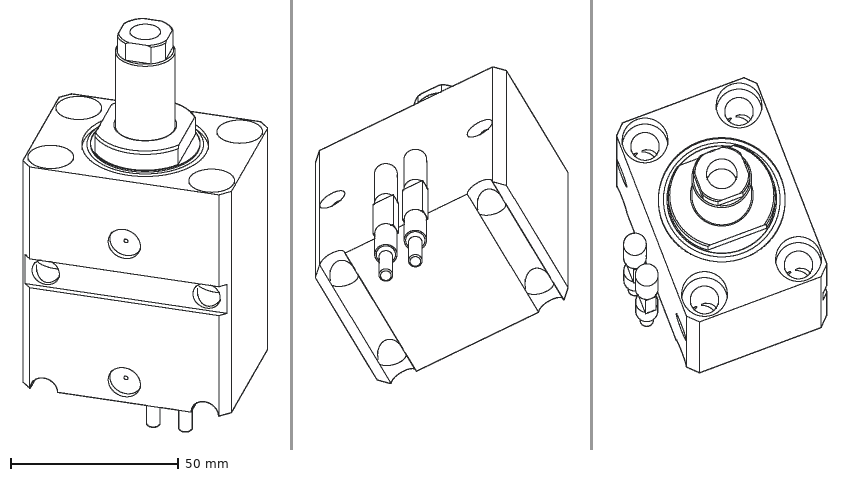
import cadquery as cq
import math

HOUSING_X = 65.0
HOUSING_Y = 45.0
HOUSING_TOP = 76.9
EDGE_CHAMFER = 3.0

HOLE_DIA = 8.5
HOLE_X = 25.1
BOLT_Y = 15.0
COUNTERBORE_DIA = 13.7
COUNTERBORE_DEPTH = 9.0

KEYWAY_Z = 40.0
KEYWAY_HEIGHT = 10.0
KEYWAY_DEPTH = 2.0

LOWER_PORT_Z = 7.0
UPPER_PORT_Z = 55.0
PORT_DIA = 10.0
PORT_DEPTH = 1.8
ORIFICE_DIA = 1.2
ORIFICE_DEPTH = 4.5
LOWER_ORIFICE_OFFSET = 0.5

PLUG_DIA = 38.0
PLUG_DEPTH = 10.0
PLUG_CHAMFER = 1.5
COLLAR_DIA = 32.8
COLLAR_HEIGHT = 0.5
HEAD_DIA = 32.0
HEAD_FLATS = 26.0
HEAD_TOP = 83.8
HEAD_BEVEL_HEIGHT = 0.9
HEAD_BEVEL_WIDTH = 0.5
BORE_CHAMFER = 0.5

ROD_DIA = 18.0
ROD_SHOULDER = 109.7
ROD_TOP = 116.0
ROD_CHAMFER = 0.5
TIP_DIA = 17.0
TIP_FLATS = 15.0
TIP_CHAMFER = 0.5
ROD_HOLE_DIA = 9.1
ROD_HOLE_DEPTH = 15.0
DRILL_POINT_ANGLE = 118

SENSOR_X = 5.0
BARREL_DIA = 6.8
BARREL_TOP = 32.0
BARREL_BOTTOM = 12.0
STRIP_THICKNESS = 3.3
CONNECTOR_DIA = 6.7
CONNECTOR_TOP = -7.9
CONNECTOR_BOTTOM = -21.9
TAPER_TOP_DIA = 5.8
TAPER_BOTTOM = -23.4
PIN_DIA = 4.1
PIN_BOTTOM = -36.0
PIN_CHAMFER = 0.5

FRONT_Y = -HOUSING_Y / 2
SENSOR_Y = HOUSING_Y / 2 + BARREL_DIA / 2
PLUG_BOTTOM = HOUSING_TOP - PLUG_DEPTH


def cylinder(diameter, bottom, top):
    """Upright cylinder on the Z axis."""
    return cq.Workplane("XY").workplane(offset=bottom).circle(diameter / 2).extrude(top - bottom)


def block(size_x, size_y, bottom, top):
    """Upright block centred on the Z axis."""
    return cq.Workplane("XY").workplane(offset=bottom).rect(size_x, size_y).extrude(top - bottom)


def cone(bottom_dia, top_dia, bottom, top):
    """Upright truncated cone on the Z axis; a bottom diameter of 0 gives a point."""
    solid = cq.Solid.makeCone(bottom_dia / 2, top_dia / 2, top - bottom, pnt=cq.Vector(0, 0, bottom))
    return cq.Workplane(solid)


def hole_along_y(diameter, x, z, start_y, depth):
    """Cutter that runs from start_y toward +Y."""
    return cq.Workplane("XZ", origin=(x, start_y, z)).circle(diameter / 2).extrude(-depth)


def drill_bolt_holes(body):
    return (
        body.faces(">Z")
        .workplane(origin=(0, 0, HOUSING_TOP))
        .rect(2 * HOLE_X, 2 * BOLT_Y, forConstruction=True)
        .vertices()
        .cboreHole(HOLE_DIA, COUNTERBORE_DIA, COUNTERBORE_DEPTH)
    )


def drill_cross_holes(body):
    for x in (-HOLE_X, HOLE_X):
        for z in (0, KEYWAY_Z):
            body = body.cut(hole_along_y(HOLE_DIA, x, z, FRONT_Y, HOUSING_Y))
    return body


def cut_keyway(body):
    keyway = cq.Workplane("XY").box(HOUSING_X, 2 * KEYWAY_DEPTH, KEYWAY_HEIGHT)
    return body.cut(keyway.translate((0, FRONT_Y, KEYWAY_Z)))


def cut_port(body, port_z, orifice_z):
    port = hole_along_y(PORT_DIA, 0, port_z, FRONT_Y, PORT_DEPTH)
    orifice = hole_along_y(ORIFICE_DIA, 0, orifice_z, FRONT_Y, PORT_DEPTH + ORIFICE_DEPTH)
    return body.cut(port).cut(orifice)


def make_housing():
    body = block(HOUSING_X, HOUSING_Y, 0, HOUSING_TOP).edges("|Z").chamfer(EDGE_CHAMFER)
    body = drill_bolt_holes(body)
    body = drill_cross_holes(body)
    body = cut_keyway(body)
    body = cut_port(body, LOWER_PORT_Z, LOWER_PORT_Z + LOWER_ORIFICE_OFFSET)
    body = cut_port(body, UPPER_PORT_Z, UPPER_PORT_Z)
    gland_recess = cylinder(PLUG_DIA, PLUG_BOTTOM, HOUSING_TOP)
    return body.cut(gland_recess)


def make_gland():
    plug = cylinder(PLUG_DIA, PLUG_BOTTOM, HOUSING_TOP).faces(">Z").edges().chamfer(PLUG_CHAMFER)
    collar = cylinder(COLLAR_DIA, HOUSING_TOP, HOUSING_TOP + COLLAR_HEIGHT)
    head = cylinder(HEAD_DIA, HOUSING_TOP, HEAD_TOP)
    head = head.faces(">Z").edges().chamfer(HEAD_BEVEL_HEIGHT, HEAD_BEVEL_WIDTH)
    head = head.intersect(block(HEAD_FLATS, HEAD_DIA, HOUSING_TOP, HEAD_TOP))
    rod_bore = cylinder(ROD_DIA, PLUG_BOTTOM, HEAD_TOP)
    bore_rim = cone(ROD_DIA, ROD_DIA + 2 * BORE_CHAMFER, HEAD_TOP - BORE_CHAMFER, HEAD_TOP)
    return plug.union(collar).union(head).cut(rod_bore).cut(bore_rim)


def make_rod():
    shaft = cylinder(ROD_DIA, PLUG_BOTTOM, ROD_SHOULDER).faces(">Z").edges().chamfer(ROD_CHAMFER)
    tip = cylinder(TIP_DIA, ROD_SHOULDER, ROD_TOP).faces(">Z").edges().chamfer(TIP_CHAMFER)
    tip = tip.intersect(block(TIP_FLATS, TIP_FLATS, ROD_SHOULDER, ROD_TOP))

    hole_bottom = ROD_TOP - ROD_HOLE_DEPTH
    point_length = ROD_HOLE_DIA / 2 / math.tan(math.radians(DRILL_POINT_ANGLE / 2))
    hole = cylinder(ROD_HOLE_DIA, hole_bottom, ROD_TOP)
    drill_point = cone(0, ROD_HOLE_DIA, hole_bottom - point_length, hole_bottom)
    return shaft.union(tip).cut(hole).cut(drill_point)


def make_sensor(x):
    barrel = cylinder(BARREL_DIA, BARREL_BOTTOM, BARREL_TOP)
    strip = block(BARREL_DIA, STRIP_THICKNESS, CONNECTOR_TOP, BARREL_BOTTOM)
    connector = cylinder(CONNECTOR_DIA, CONNECTOR_BOTTOM, CONNECTOR_TOP)
    taper = cone(PIN_DIA, TAPER_TOP_DIA, TAPER_BOTTOM, CONNECTOR_BOTTOM)
    pin = cylinder(PIN_DIA, PIN_BOTTOM, TAPER_BOTTOM).faces("<Z").edges().chamfer(PIN_CHAMFER)
    sensor = barrel.union(strip).union(connector).union(taper).union(pin)
    return sensor.translate((x, SENSOR_Y, 0))


housing = make_housing()
gland = make_gland()
rod = make_rod()
sensors = [make_sensor(x) for x in (-SENSOR_X, SENSOR_X)]

result = cq.Compound.makeCompound(
    [housing.val(), gland.val(), rod.val(), *[sensor.val() for sensor in sensors]]
)